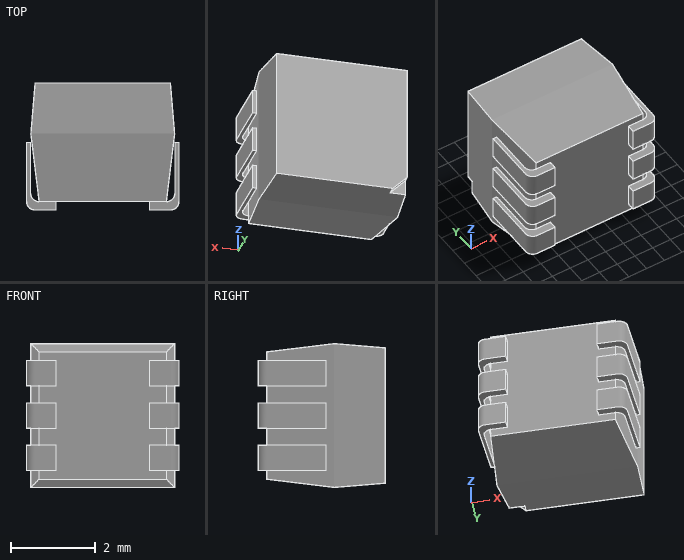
import cadquery as cq

OVERALL_WIDTH = 3.6
OVERALL_HEIGHT = 3.0

PARTING_SIDE = 3.4
BASE_SIDE = 3.01
TOP_SIDE = 3.2
PARTING_TO_TOP = 1.2

MARK_LEG = 0.35
MARK_DEPTH = 0.2

LEADS_PER_SIDE = 3
LEAD_PITCH = 1.0
LEAD_WIDTH = 0.6
LEG_HEIGHT = 1.6
LEG_THICKNESS = 0.1
FOOT_LENGTH = 0.7
FOOT_THICKNESS = 0.2
BEND_RADIUS = 0.2

SOLE_Y = -OVERALL_HEIGHT / 2
TOP_Y = OVERALL_HEIGHT / 2
BASE_Y = SOLE_Y + FOOT_THICKNESS
PARTING_Y = TOP_Y - PARTING_TO_TOP
LEG_END_Y = SOLE_Y + LEG_HEIGHT


def square_face_plane(y):
    """Plane facing +Y at height y, with its local X along +Z and local Y along +X."""
    return cq.Plane(origin=(0, y, 0), xDir=(0, 0, 1), normal=(0, 1, 0))


def tapered_block(start_y, start_side, end_y, end_side):
    """Square frustum running along Y."""
    return (
        cq.Workplane(square_face_plane(start_y))
        .rect(start_side, start_side)
        .workplane(offset=end_y - start_y)
        .rect(end_side, end_side)
        .loft(ruled=True)
    )


def corner_mark_cutter():
    """Triangular prism at the -X, -Z corner of the housing top."""
    corner = -TOP_SIDE / 2
    margin = PARTING_SIDE - TOP_SIDE
    outer = corner - margin
    reach = corner + MARK_LEG + margin
    return (
        cq.Workplane(square_face_plane(TOP_Y))
        .polyline([(outer, outer), (reach, outer), (outer, reach)])
        .close()
        .extrude(-MARK_DEPTH)
    )


def make_housing():
    lower = tapered_block(BASE_Y, BASE_SIDE, PARTING_Y, PARTING_SIDE)
    upper = tapered_block(PARTING_Y, PARTING_SIDE, TOP_Y, TOP_SIDE)
    return lower.union(upper).cut(corner_mark_cutter())


def make_lead(side, z):
    """L-shaped lead centred at height z; side is -1 for the -X row and +1 for the +X row."""
    outer_x = side * OVERALL_WIDTH / 2
    inner_x = outer_x - side * LEG_THICKNESS
    toe_x = outer_x - side * FOOT_LENGTH
    bend = side * BEND_RADIUS
    return (
        cq.Workplane("XY", origin=(0, 0, z - LEAD_WIDTH / 2))
        .moveTo(outer_x, LEG_END_Y)
        .lineTo(outer_x, SOLE_Y + BEND_RADIUS)
        .tangentArcPoint((outer_x - bend, SOLE_Y), relative=False)
        .lineTo(toe_x, SOLE_Y)
        .lineTo(toe_x, BASE_Y)
        .lineTo(inner_x - bend, BASE_Y)
        .tangentArcPoint((inner_x, BASE_Y + BEND_RADIUS), relative=False)
        .lineTo(inner_x, LEG_END_Y)
        .close()
        .extrude(LEAD_WIDTH)
    )


housing = make_housing()

leads = []
for row_side in (-1, 1):
    for index in range(LEADS_PER_SIDE):
        lead_z = (index - (LEADS_PER_SIDE - 1) / 2) * LEAD_PITCH
        leads.append(make_lead(row_side, lead_z).val())

result = cq.Compound.makeCompound([housing.val(), *leads])